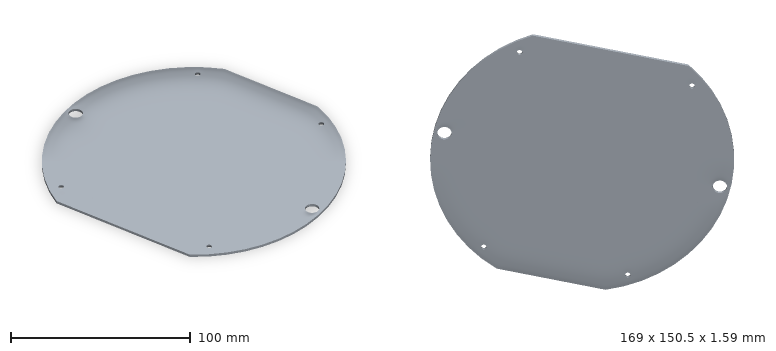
import cadquery as cq

plate_diameter = 169.0
plate_thickness = 1.59
plate_depth = 150.5
back_flat_y = 78.6
front_flat_y = back_flat_y - plate_depth

large_hole_diameter = 8.0
large_hole_spacing = 156.8

small_hole_diameter = 3.0
back_pair_spacing = 82.0
back_pair_y = 66.6
front_pair_spacing = 98.2
front_pair_y = -59.8


def hole_pair(spacing, y):
    """Centres of two holes placed symmetrically about the Y axis."""
    return [(-spacing / 2, y), (spacing / 2, y)]


def flatted_disc():
    """Disc trimmed by two flats parallel to the X axis."""
    disc = cq.Workplane("XY").circle(plate_diameter / 2).extrude(plate_thickness)
    band = (
        cq.Workplane("XY")
        .center(0, (back_flat_y + front_flat_y) / 2)
        .rect(plate_diameter, plate_depth)
        .extrude(plate_thickness)
    )
    return disc.intersect(band)


def drill(plate, centres, diameter):
    """Cut through holes at the given centres."""
    cutters = cq.Workplane("XY").pushPoints(centres).circle(diameter / 2).extrude(plate_thickness)
    return plate.cut(cutters)


result = flatted_disc()
result = drill(result, hole_pair(large_hole_spacing, 0), large_hole_diameter)
result = drill(result, hole_pair(back_pair_spacing, back_pair_y), small_hole_diameter)
result = drill(result, hole_pair(front_pair_spacing, front_pair_y), small_hole_diameter)